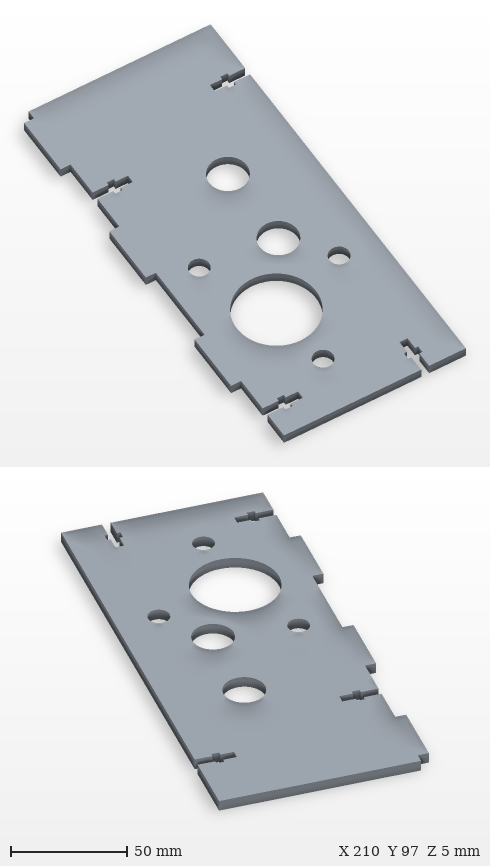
import cadquery as cq

length = 210.0
width = 97.0
thickness = 5.0

tab_depth = thickness
tab_width = 30.0
tab_count = 3
first_tab_x = 4.5
tab_pitch = 70.1

slot_width = 4.0
slot_depth = 17.8
nut_width = 7.1
nut_thickness = 3.5
nut_distance = 9.9

back_slot_x = 30.5
front_slots_x = (54.5, 194.5)
right_slot_y = 76.5

large_hole_diameter = 40.0
large_hole_center = (149.0, 38.6)

medium_hole_diameter = 19.0
medium_hole_centers = [(74.3, 60.0), (116.0, 60.0)]

small_hole_diameter = 9.9
small_hole_centers = [(137.8, 77.3), (182.7, 41.5), (112.0, 22.5)]


def block(x, y, size_x, size_y):
    """Full-thickness block with its lower-left corner at (x, y)."""
    return cq.Workplane("XY").box(size_x, size_y, thickness, centered=False).translate((x, y, 0))


def t_slot(edge_x, edge_y, turn):
    """T-slot cutter entering at an edge point; it runs along +Y before being turned."""
    channel = block(-slot_width / 2, 0, slot_width, slot_depth)
    nut = block(-nut_width / 2, nut_distance - nut_thickness / 2, nut_width, nut_thickness)
    cutter = channel.union(nut)
    return cutter.rotate((0, 0, 0), (0, 0, 1), turn).translate((edge_x, edge_y, 0))


def holes(centers, diameter):
    """Cutter for round through holes of one diameter."""
    return cq.Workplane("XY").pushPoints(centers).circle(diameter / 2).extrude(thickness)


result = block(0, tab_depth, length, width - tab_depth)
for i in range(tab_count):
    result = result.union(block(first_tab_x + i * tab_pitch, 0, tab_width, tab_depth))

result = result.cut(t_slot(back_slot_x, width, 180))
result = result.cut(t_slot(length, right_slot_y, 90))
for slot_x in front_slots_x:
    result = result.cut(t_slot(slot_x, tab_depth, 0))

result = result.cut(holes([large_hole_center], large_hole_diameter))
result = result.cut(holes(medium_hole_centers, medium_hole_diameter))
result = result.cut(holes(small_hole_centers, small_hole_diameter))